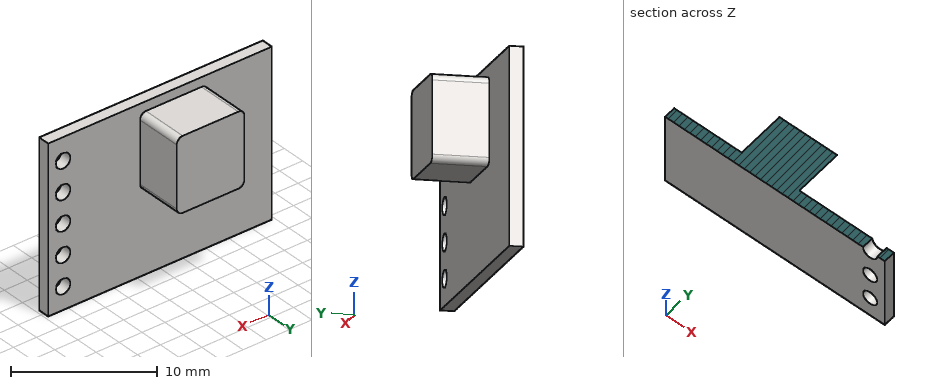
import cadquery as cq

plate_width = 19.5
plate_height = 14.0
plate_thickness = 1.0

hole_diameter = 1.25
hole_count = 5
hole_pitch = 2.54
hole_edge_distance = 1.3

total_depth = 5.0
block_depth = total_depth - plate_thickness
block_width = 5.89
block_height = 6.23
block_left_offset = 5.61
block_top_offset = 0.79
block_corner_radius = 0.52


def make_plate():
    return cq.Workplane("XY").box(
        plate_width, plate_thickness, plate_height, centered=False
    )


def make_block():
    """Block with its four depthwise edges rounded, resting on the plate's back."""
    block_bottom = plate_height - block_top_offset - block_height
    block = cq.Workplane("XY").box(block_width, block_depth, block_height, centered=False)
    block = block.edges("|Y").fillet(block_corner_radius)
    return block.translate((block_left_offset, plate_thickness, block_bottom))


def make_holes():
    """Cylinders that cut the vertical row of holes through the plate."""
    hole_x = plate_width - hole_edge_distance
    first_z = plate_height / 2 - hole_pitch * (hole_count - 1) / 2
    centers = [(hole_x, first_z + i * hole_pitch) for i in range(hole_count)]
    return (
        cq.Workplane("XZ")
        .pushPoints(centers)
        .circle(hole_diameter / 2)
        .extrude(-plate_thickness)
    )


result = make_plate().union(make_block()).cut(make_holes())